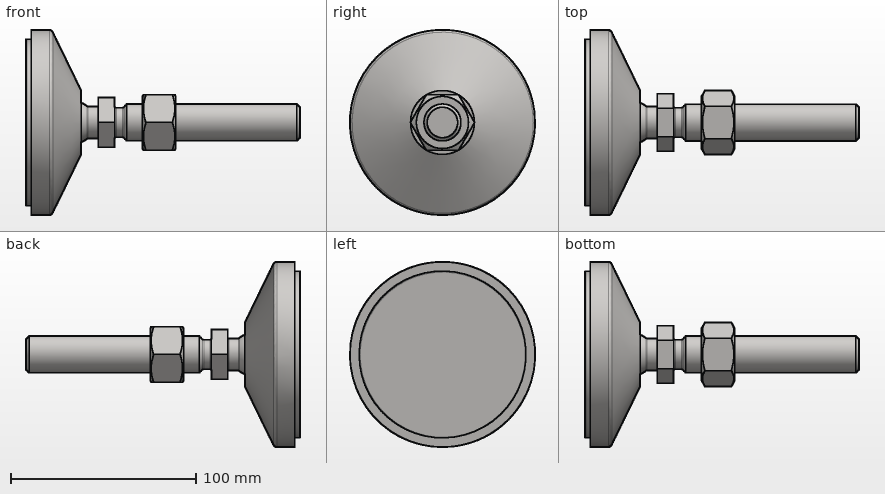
import cadquery as cq
import math

TOTAL_LENGTH = 148.0

PAD_DIAMETER = 90.0
PAD_HEIGHT = 2.8
PAD_EDGE_FILLET = 0.5
RIM_DIAMETER = 100.0
RIM_END_X = 13.9
RIM_FILLET = 2.0
FOOT_HEIGHT = 29.9
FOOT_TOP_DIAMETER = 34.5

BALL_RADIUS = 11.5
BALL_CENTER_X = 25.6
NECK_DIAMETER = 17.5
NECK_BALL_FILLET = 0.9
NECK_HEX_FILLET = 0.5
HEX_START_X = 39.0
HEX_THICKNESS = 8.9
HEX_ACROSS_FLATS = 27.0
GROOVE_DIAMETER = 16.0
GROOVE_END_X = 52.8
GROOVE_ARC_RADIUS = 1.2
GROOVE_ARC_ANGLE = math.radians(45)
ROD_DIAMETER = 20.0
ROD_END_CHAMFER = 1.8

NUT_START_X = 62.9
NUT_THICKNESS = 18.0
NUT_ACROSS_FLATS = 30.0
NUT_FACE_DIAMETER = 28.1
NUT_CHAMFER_ANGLE = math.radians(30)


def cylinder(start_x, length, diameter):
    return cq.Workplane("YZ", origin=(start_x, 0, 0)).circle(diameter / 2).extrude(length)


def hexagon(start_x, length, across_flats):
    """Hexagonal prism along X with corners on +Y and -Y and flats on +Z and -Z."""
    across_corners = across_flats / math.cos(math.radians(30))
    return cq.Workplane("YZ", origin=(start_x, 0, 0)).polygon(6, across_corners).extrude(length)


def revolve_about_x(outline):
    return outline.close().revolve(360, (0, 0, 0), (1, 0, 0))


def make_ball():
    return revolve_about_x(
        cq.Workplane("XY")
        .moveTo(BALL_CENTER_X - BALL_RADIUS, 0)
        .threePointArc((BALL_CENTER_X, BALL_RADIUS), (BALL_CENTER_X + BALL_RADIUS, 0))
    )


def make_foot():
    pad = cylinder(0, PAD_HEIGHT, PAD_DIAMETER).faces("<X").edges().fillet(PAD_EDGE_FILLET)
    rim_radius = RIM_DIAMETER / 2
    body = revolve_about_x(
        cq.Workplane("XY")
        .moveTo(PAD_HEIGHT, 0)
        .lineTo(PAD_HEIGHT, rim_radius)
        .lineTo(RIM_END_X, rim_radius)
        .lineTo(FOOT_HEIGHT, FOOT_TOP_DIAMETER / 2)
        .lineTo(FOOT_HEIGHT, 0)
    )
    rim_edge = cq.selectors.BoxSelector(
        (RIM_END_X - 0.1, -rim_radius, -rim_radius),
        (RIM_END_X + 0.1, rim_radius, rim_radius),
        boundingbox=False,
    )
    body = body.edges(rim_edge).fillet(RIM_FILLET)
    return body.union(pad).cut(make_ball())


def make_groove_and_rod():
    """Undercut behind the hexagon, its sloped shoulder, and the rod."""
    hex_end_x = HEX_START_X + HEX_THICKNESS
    groove_radius = GROOVE_DIAMETER / 2
    rod_radius = ROD_DIAMETER / 2

    arc_length = GROOVE_ARC_RADIUS * math.sin(GROOVE_ARC_ANGLE)
    arc_rise = GROOVE_ARC_RADIUS * (1 - math.cos(GROOVE_ARC_ANGLE))
    mid_length = GROOVE_ARC_RADIUS * math.sin(GROOVE_ARC_ANGLE / 2)
    mid_rise = GROOVE_ARC_RADIUS * (1 - math.cos(GROOVE_ARC_ANGLE / 2))
    floor_start_x = hex_end_x + arc_length
    floor_end_x = GROOVE_END_X - arc_length
    floor_start_mid = (floor_start_x - mid_length, groove_radius + mid_rise)
    floor_end_mid = (floor_end_x + mid_length, groove_radius + mid_rise)
    shoulder_length = (rod_radius - groove_radius - arc_rise) / math.tan(GROOVE_ARC_ANGLE)

    return revolve_about_x(
        cq.Workplane("XY")
        .moveTo(hex_end_x, 0)
        .lineTo(hex_end_x, groove_radius + arc_rise)
        .threePointArc(floor_start_mid, (floor_start_x, groove_radius))
        .lineTo(floor_end_x, groove_radius)
        .threePointArc(floor_end_mid, (GROOVE_END_X, groove_radius + arc_rise))
        .lineTo(GROOVE_END_X + shoulder_length, rod_radius)
        .lineTo(TOTAL_LENGTH - ROD_END_CHAMFER, rod_radius)
        .lineTo(TOTAL_LENGTH, rod_radius - ROD_END_CHAMFER)
        .lineTo(TOTAL_LENGTH, 0)
    )


def make_spindle():
    neck = cylinder(BALL_CENTER_X, HEX_START_X - BALL_CENTER_X, NECK_DIAMETER)
    front = make_ball().union(neck)
    front = front.edges("%CIRCLE").edges(cq.selectors.RadiusNthSelector(0)).edges("<X").fillet(NECK_BALL_FILLET)
    front = front.union(hexagon(HEX_START_X, HEX_THICKNESS, HEX_ACROSS_FLATS))
    front = front.edges("%CIRCLE").edges(">X").fillet(NECK_HEX_FILLET)
    return front.union(make_groove_and_rod())


def make_nut():
    across_corners = NUT_ACROSS_FLATS / math.cos(math.radians(30))
    corner_radius = across_corners / 2
    face_radius = NUT_FACE_DIAMETER / 2
    chamfer_length = (corner_radius - face_radius) * math.tan(NUT_CHAMFER_ANGLE)
    nut_end_x = NUT_START_X + NUT_THICKNESS
    chamfer_envelope = revolve_about_x(
        cq.Workplane("XY")
        .moveTo(NUT_START_X, 0)
        .lineTo(NUT_START_X, face_radius)
        .lineTo(NUT_START_X + chamfer_length, corner_radius)
        .lineTo(nut_end_x - chamfer_length, corner_radius)
        .lineTo(nut_end_x, face_radius)
        .lineTo(nut_end_x, 0)
    )
    blank = hexagon(NUT_START_X, NUT_THICKNESS, NUT_ACROSS_FLATS).intersect(chamfer_envelope)
    return blank.cut(cylinder(NUT_START_X, NUT_THICKNESS, ROD_DIAMETER))


foot = make_foot()
spindle = make_spindle()
nut = make_nut()

result = cq.Compound.makeCompound([foot.val(), spindle.val(), nut.val()])